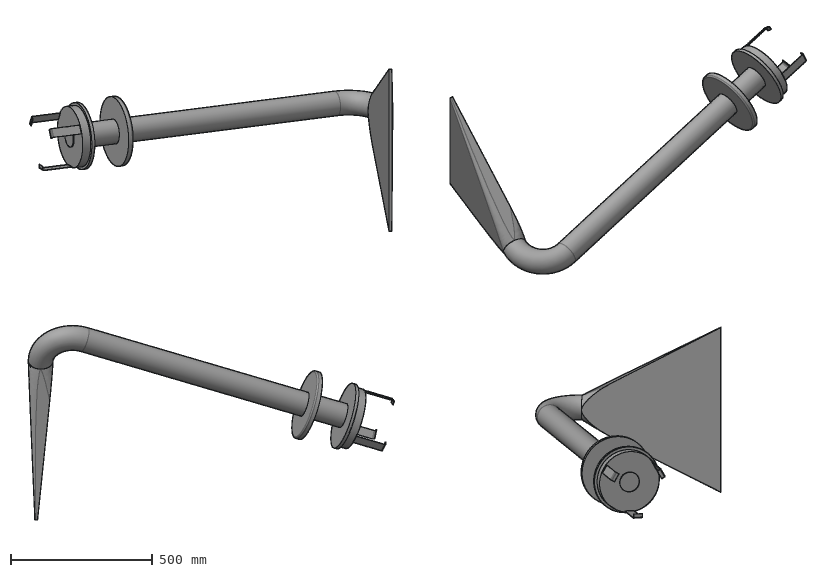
import cadquery as cq
import math


TUBE_D = 89.0
BEND_R = 113.0
BEND_ANGLE = 110.0
BEND_CENTRE_Y = 1000.0

FAN_LENGTH = 492.0
FAN_WIDTH = 600.0
LIP_THICKNESS = 10.0
LIP_CORNER_R = 4.0
JOINT_FLAT = 0.3
SWELL_FRACTION = 0.3
SWELL_WIDTH = 241.0
SWELL_CORNER_R = 21.0
UNDERSIDE_DROP = 78.0

FLANGE_D = 240.0
FLANGE_T = 12.0
CAN_D = 220.0
CAN_DEPTH = 31.0

NIPPLE_D = 72.0
NIPPLE_PROJECTION = 4.0

RING_D = 250.0
RING_T = 20.0
RING_FRONT_Y = 141.0
RING_EDGE_R = 5.0

ANCHOR_COUNT = 3
ANCHOR_FIRST_ANGLE = -90.0
ANCHOR_WIDTH = 33.0
ANCHOR_T = 2.0
ANCHOR_LENGTH = 113.0
ANCHOR_OUTER_R = 107.0
HOOK_LENGTH = 15.0
HOOK_INNER_R = 3.0


def disc(diameter, front_y, thickness):
    """Cylinder on the tube axis that runs from front_y toward +Y."""
    return cq.Workplane("XZ", origin=(0, front_y, 0)).circle(diameter / 2).extrude(-thickness)


def fan_section(top, depth, width, corner_r, distance):
    """Rounded rectangle across the fan; top is its highest local X, distance its local Z."""
    outline = cq.Sketch().rect(depth, width).vertices().fillet(corner_r)
    return outline.moved(cq.Location(cq.Vector(top - depth / 2, 0, distance)))


def make_fan():
    """Outlet along local +Z; local X is its top side and local Y its width."""
    tube_r = TUBE_D / 2
    lip_half = LIP_THICKNESS / 2
    lip_depth = lip_half + tube_r + UNDERSIDE_DROP
    swell_depth = TUBE_D + (lip_depth - TUBE_D) * SWELL_FRACTION
    swell_top = tube_r + (lip_half - tube_r) * SWELL_FRACTION

    fan = cq.Workplane("XY").placeSketch(
        fan_section(tube_r, TUBE_D, TUBE_D, tube_r - JOINT_FLAT, 0),
        fan_section(swell_top, swell_depth, SWELL_WIDTH, SWELL_CORNER_R, FAN_LENGTH * SWELL_FRACTION),
        fan_section(lip_half, lip_depth, FAN_WIDTH, LIP_CORNER_R, FAN_LENGTH),
    ).loft()
    side_profile = [
        (-tube_r, 0),
        (tube_r, 0),
        (lip_half, FAN_LENGTH),
        (-lip_half, FAN_LENGTH),
    ]
    side_wedge = cq.Workplane("XZ").polyline(side_profile).close().extrude(FAN_WIDTH / 2, both=True)
    return fan.intersect(side_wedge)


def make_spout():
    base_y = FLANGE_T
    straight = disc(TUBE_D, base_y, BEND_CENTRE_Y - base_y)
    bend = (
        cq.Workplane("XZ", origin=(0, BEND_CENTRE_Y, 0))
        .circle(TUBE_D / 2)
        .revolve(BEND_ANGLE, (BEND_R, 13, 0), (BEND_R, 0, 0))
    )
    turn_past_square = math.radians(BEND_ANGLE - 90)
    sine = math.sin(turn_past_square)
    cosine = math.cos(turn_past_square)
    joint_plane = cq.Plane(
        origin=(BEND_R + BEND_R * sine, BEND_CENTRE_Y + BEND_R * cosine, 0),
        xDir=(sine, cosine, 0),
        normal=(cosine, -sine, 0),
    )
    fan = cq.Workplane(make_fan().val().moved(cq.Location(joint_plane)))
    return straight.union(bend).union(fan)


def make_base():
    flange = disc(FLANGE_D, 0, FLANGE_T)
    can = disc(CAN_D, -CAN_DEPTH, CAN_DEPTH)
    bore = disc(NIPPLE_D, -CAN_DEPTH, CAN_DEPTH + FLANGE_T)
    return flange.union(can).cut(bore)


def make_nipple():
    length = NIPPLE_PROJECTION + CAN_DEPTH + FLANGE_T
    return disc(NIPPLE_D, -CAN_DEPTH - NIPPLE_PROJECTION, length)


def make_ring():
    ring = disc(RING_D, RING_FRONT_Y, RING_T).faces(">Y").edges().fillet(RING_EDGE_R)
    return ring.cut(disc(TUBE_D, RING_FRONT_Y, RING_T))


def make_anchor(angle):
    """L-shaped strip standing on the can face, its hook bent toward the tube axis."""
    root_y = -CAN_DEPTH
    tip_y = root_y - ANCHOR_LENGTH
    hook_end = ANCHOR_OUTER_R - HOOK_LENGTH
    strip_inner = ANCHOR_OUTER_R - ANCHOR_T
    profile = [
        (ANCHOR_OUTER_R, root_y),
        (ANCHOR_OUTER_R, tip_y),
        (hook_end, tip_y),
        (hook_end, tip_y + ANCHOR_T),
        (strip_inner, tip_y + ANCHOR_T),
        (strip_inner, root_y),
    ]
    strip = cq.Workplane("XY").polyline(profile).close().extrude(ANCHOR_WIDTH / 2, both=True)
    outer_bend = cq.selectors.NearestToPointSelector((ANCHOR_OUTER_R, tip_y, 0))
    inner_bend = cq.selectors.NearestToPointSelector((strip_inner, tip_y + ANCHOR_T, 0))
    strip = strip.edges("|Z").edges(outer_bend).fillet(HOOK_INNER_R + ANCHOR_T)
    strip = strip.edges("|Z").edges(inner_bend).fillet(HOOK_INNER_R)
    return strip.rotate((0, 0, 0), (0, -1, 0), angle)


spout = make_spout()
base = make_base()
nipple = make_nipple()
ring = make_ring()
anchors = [
    make_anchor(ANCHOR_FIRST_ANGLE + 360 / ANCHOR_COUNT * number)
    for number in range(ANCHOR_COUNT)
]

result = cq.Compound.makeCompound(
    [
        spout.val(),
        base.val(),
        nipple.val(),
        ring.val(),
        *[anchor.val() for anchor in anchors],
    ]
)